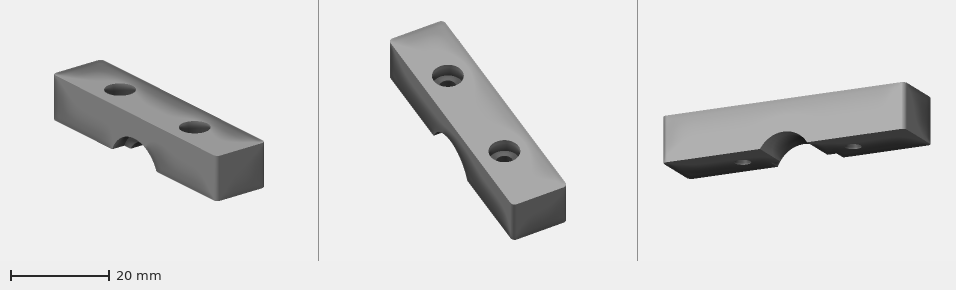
import cadquery as cq

length = 55.0
width = 12.7
height = 10.0
corner_radius = 1.0

hole_spacing = 25.0
hole_y = -0.425
hole_diameter = 3.5
counterbore_diameter = 6.5
counterbore_depth = 3.0

cradle_axis_z = -3.25
cradle_radius = 6.25
recess_radius = 8.1
recess_depth = 3.1


def make_block():
    block = cq.Workplane("XY").box(length, width, height, centered=(True, True, False))
    return block.edges("|Z").fillet(corner_radius)


def cut_screw_holes(body):
    hole_x = hole_spacing / 2
    return (
        body.faces(">Z")
        .workplane(origin=(0, 0, height))
        .pushPoints([(-hole_x, hole_y), (hole_x, hole_y)])
        .cboreHole(hole_diameter, counterbore_diameter, counterbore_depth)
    )


def cylinder_from_front(radius, depth):
    """Cylinder on the cradle axis, running from the -Y face toward +Y."""
    plane = cq.Workplane("XZ", origin=(0, -width / 2, cradle_axis_z))
    return plane.circle(radius).extrude(-depth)


def cut_cradle(body):
    recess = cylinder_from_front(recess_radius, recess_depth)
    cradle = cylinder_from_front(cradle_radius, width)
    return body.cut(recess).cut(cradle)


block = make_block()
drilled_block = cut_screw_holes(block)
result = cut_cradle(drilled_block)